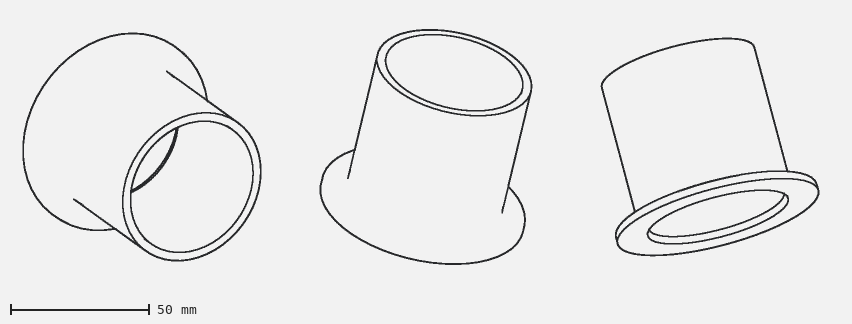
import cadquery as cq
import math

length = 58.0
flange_radius = 37.5
tube_radius = 28.5
bore_radius = 25.3

cone_angle = math.radians(15)
rim_width = 2.25
rim_round = 1.0
root_round = 0.5

seat_radius = 26.2
seat_depth = 2.5
seat_round = 0.3

cone_start_x = rim_width + rim_round * math.cos(cone_angle)
cone_start_radius = flange_radius - rim_round * (1 - math.sin(cone_angle))

root_setback = root_round * math.tan((math.pi / 2 - cone_angle) / 2)
root_x = cone_start_x + (cone_start_radius - tube_radius) * math.tan(cone_angle)
cone_end_x = root_x - root_setback * math.sin(cone_angle)
cone_end_radius = tube_radius + root_setback * math.cos(cone_angle)
tube_start_x = root_x + root_setback

mid_angle = (math.pi / 2 + cone_angle) / 2
rim_mid = (
    rim_width + rim_round * math.cos(mid_angle),
    flange_radius - rim_round * (1 - math.sin(mid_angle)),
)
root_mid = (
    tube_start_x - root_round * math.cos(mid_angle),
    tube_radius + root_round * (1 - math.sin(mid_angle)),
)
seat_mid_inset = seat_round * (1 - math.sqrt(0.5))
seat_mid = (seat_depth - seat_mid_inset, seat_radius - seat_mid_inset)

half_section = (
    cq.Workplane("XY")
    .moveTo(0, seat_radius)
    .lineTo(0, flange_radius)
    .lineTo(rim_width, flange_radius)
    .threePointArc(rim_mid, (cone_start_x, cone_start_radius))
    .lineTo(cone_end_x, cone_end_radius)
    .threePointArc(root_mid, (tube_start_x, tube_radius))
    .lineTo(length, tube_radius)
    .lineTo(length, bore_radius)
    .lineTo(seat_depth, bore_radius)
    .lineTo(seat_depth, seat_radius - seat_round)
    .threePointArc(seat_mid, (seat_depth - seat_round, seat_radius))
    .close()
)

result = half_section.revolve(360, (0, 0, 0), (1, 0, 0))